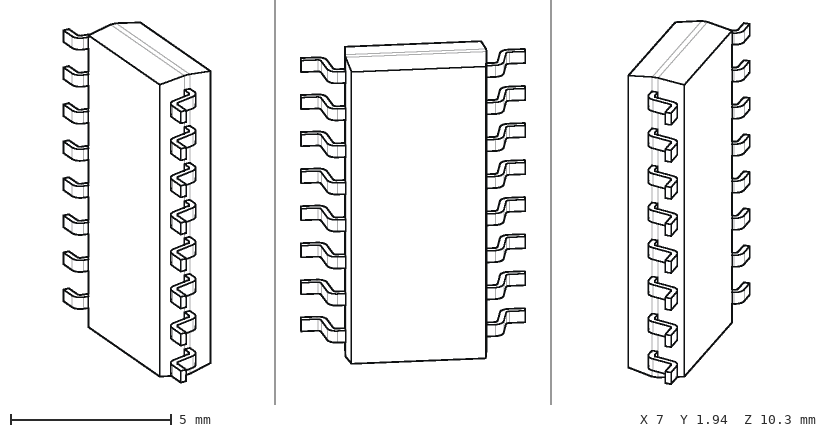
import cadquery as cq
import math


body_length = 10.28
body_width = 4.4
band_bottom = 0.93
body_bottom = 0.07
body_top = 1.94
end_draft = 0.13
lower_side_draft = 0.07
upper_side_draft = 0.1

leads_per_side = 8
lead_row_length = 8.89
lead_width = 0.4
lead_thickness = 0.2
lead_span = 7.0
shoulder_end = 2.47
inner_radius = 0.1
leg_angle = 78.0
lead_embed = 0.31

band_top = band_bottom + lead_thickness
lead_pitch = lead_row_length / (leads_per_side - 1)
outer_radius = inner_radius + lead_thickness
lead_root = body_width / 2 - lead_embed
toe = lead_span / 2

leg_slope = math.radians(leg_angle)
bend_radii = inner_radius + outer_radius
leg_drop = band_bottom - bend_radii * (1 - math.cos(leg_slope))
leg_run = leg_drop / math.tan(leg_slope)
foot_start = shoulder_end + bend_radii * math.sin(leg_slope) + leg_run


def tapered_half(band_y, face_y, side_draft):
    """Half of the body, from the parting band out to one large face."""
    return (
        cq.Workplane("XZ", origin=(0, band_y, 0))
        .rect(body_width, body_length)
        .workplane(offset=band_y - face_y)
        .rect(body_width - 2 * side_draft, body_length - 2 * end_draft)
        .loft(ruled=True)
    )


def make_body():
    band = (
        cq.Workplane("XZ", origin=(0, band_top, 0))
        .rect(body_width, body_length)
        .extrude(lead_thickness)
    )
    lower = tapered_half(band_bottom, body_bottom, lower_side_draft)
    upper = tapered_half(band_top, body_top, upper_side_draft)
    return band.union(lower).union(upper)


def upper_bend(radius, angle):
    """Point on the upper bend, at an angle turned from the shoulder."""
    centre_y = band_bottom - inner_radius
    return (shoulder_end + radius * math.sin(angle), centre_y + radius * math.cos(angle))


def lower_bend(radius, angle):
    """Point on the lower bend, at an angle turned back from the foot."""
    return (foot_start - radius * math.sin(angle), outer_radius - radius * math.cos(angle))


def make_lead():
    """One lead on the +X side, centred on Z = 0."""
    half_slope = leg_slope / 2
    return (
        cq.Workplane("XY", origin=(0, 0, -lead_width / 2))
        .moveTo(lead_root, band_top)
        .lineTo(shoulder_end, band_top)
        .threePointArc(upper_bend(outer_radius, half_slope), upper_bend(outer_radius, leg_slope))
        .lineTo(*lower_bend(inner_radius, leg_slope))
        .threePointArc(lower_bend(inner_radius, half_slope), lower_bend(inner_radius, 0))
        .lineTo(toe, lead_thickness)
        .lineTo(toe, 0)
        .lineTo(foot_start, 0)
        .threePointArc(lower_bend(outer_radius, half_slope), lower_bend(outer_radius, leg_slope))
        .lineTo(*upper_bend(inner_radius, leg_slope))
        .threePointArc(upper_bend(inner_radius, half_slope), upper_bend(inner_radius, 0))
        .lineTo(lead_root, band_bottom)
        .close()
        .extrude(lead_width)
    )


right_lead = make_lead()
left_lead = right_lead.mirror("YZ")

result = make_body()
for index in range(leads_per_side):
    lead_z = index * lead_pitch - lead_row_length / 2
    for lead in (left_lead, right_lead):
        result = result.union(lead.translate((0, 0, lead_z)))